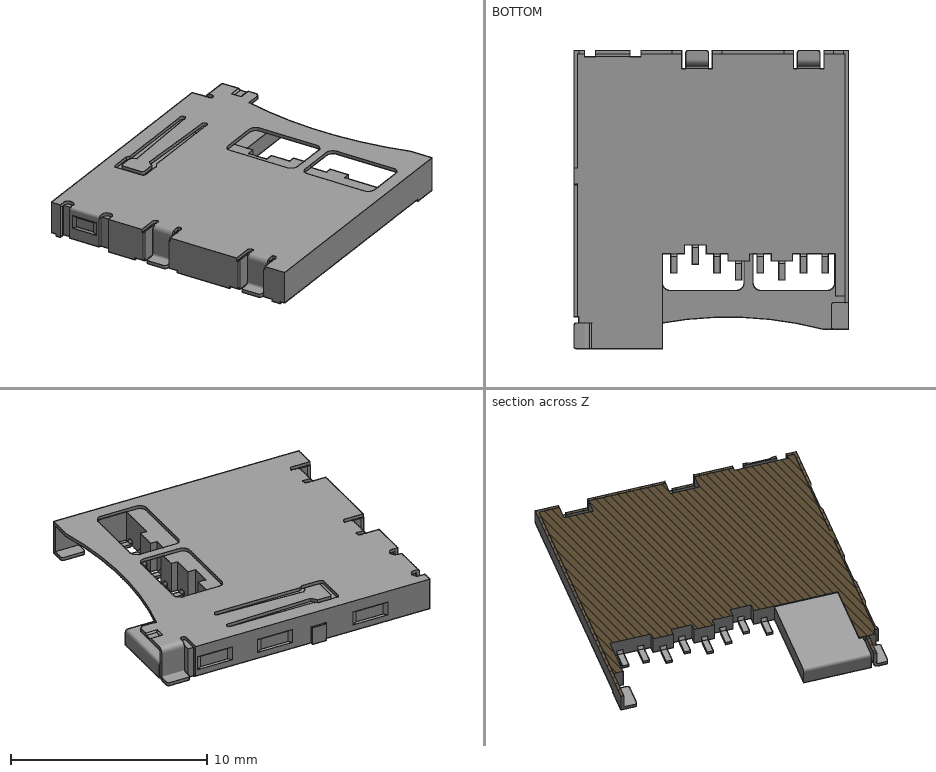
import cadquery as cq
import math


WIDTH = 14.0
LENGTH = 15.2
HEIGHT = 1.9
SHEET = 0.18
ROOF_UNDERSIDE = HEIGHT - SHEET
WALL_GAP = 0.12
PLATE_BACK = 14.21

EAR_RIGHT = 3.02
EAR_ROUNDING = 0.15
ARC_RIGHT = 12.7
ARC_LOW_Y = 13.59

LEG_WIDTH = 1.17
LEG_INSET = 0.61
LEG_BEND = 0.3
FRONT_FOOT_BEND = 0.14
LEFT_FOOT_BEND = 0.06
FOOT_ROUNDING = 0.14
SLOT_ROUNDING = 0.14
LEG_OPENING_WIDTH = 1.54
LEG_ROOF_OPENING_WIDTH = 1.69
LEG_RELIEF_END = 1.2
FRONT_LEG_PITCH = 5.68
FIRST_FRONT_LEG_X = 6.28
FRONT_LEG_CENTRES = [FIRST_FRONT_LEG_X + i * FRONT_LEG_PITCH for i in range(2)]
LEG_CLEARANCE = 0.02
LEG_POCKET_DEPTH = LEG_INSET + LEG_BEND + LEG_CLEARANCE

LEFT_LEG_FRONT = 13.88
LEFT_LEG_TAIL = 0.15
LEFT_SLOT_FRONT = 13.57
LEFT_SLOT_RIGHT = 1.14

RIGHT_FOOT_LEFT = 13.12
RIGHT_FOOT_FRONT = 12.85

CORNER_NOTCH = 0.27
LEG_NOTCH = 0.5

TAB_LEFT = 1.1
TAB_RIGHT = 2.87
TAB_BEND = 0.17
RELIEF_WIDTH = 0.55
RELIEF_END = 0.58
RELIEF_ROUNDING = 0.23
TAB_RECESS_DEPTH = 0.32

DIMPLE_DEPTH = 0.08
TAB_DIMPLE_CENTRE_Z = 1.12
TAB_DIMPLE = (1.43, 0.75)
TAB_DIMPLE_FLOOR = (1.02, 0.52)
WALL_DIMPLE_CENTRES_Y = [3.45, 8.97, 12.46]
WALL_DIMPLE_CENTRE_Z = 0.87
WALL_DIMPLE = (2.02, 0.78)
WALL_DIMPLE_FLOOR = (1.57, 0.62)
ROOF_DIMPLE_CENTRE_X = 2.07
ROOF_DIMPLE_FRONT = 14.52
ROOF_DIMPLE_WIDTH = 0.58
ROOF_DIMPLE_SLOPE = 0.1

NOTCH_FRONT = 6.0
NOTCH_BACK = 6.87
NOTCH_TOP = 1.08
NOTCH_PLAY = 0.08

WINDOW_WIDTH = 4.15
WINDOW_LEFTS = [4.51, 9.14]
WINDOW_FRONT = 9.42
WINDOW_BACK = 12.22
WINDOW_ROUNDING = 0.38

SPRING_CENTRE_X = 1.64
SPRING_ROOT_Y = 11.22
SPRING_ROOT_HALF = 0.52
SPRING_NECK_HALF = 0.36
SPRING_TIP_HALF = 0.67
SPRING_TIP_FRONT = 5.15
SPRING_TIP_SETBACK = 0.08
SPRING_ARM_HALF = 0.79
SPRING_OPENING_HALF = 0.91
SPRING_OPENING_FRONT = 4.85
SPRING_SHOULDER_FRONT = 6.05
SPRING_SHOULDER_BACK = 6.22
SPRING_OPENING_ROUNDING = 0.15
SPRING_TIP_ROUNDING = 0.12
SPRING_END_ROUNDING = 0.12

FIRST_CONTACT_X = 5.09
LAST_CONTACT_X = 12.8
CONTACT_WIDTH = 0.33
CONTACT_REACH = 0.97
CONTACT_THICKNESS = 0.15
CONTACT_RAMP = 0.12
MIDDLE_EDGE = 10.37
FRONT_EDGE = 9.93
BACK_EDGE = 10.73
CONTACT_EDGES = [
    MIDDLE_EDGE, FRONT_EDGE, MIDDLE_EDGE, BACK_EDGE,
    MIDDLE_EDGE, BACK_EDGE, MIDDLE_EDGE, MIDDLE_EDGE,
]
CONTACT_PITCH = (LAST_CONTACT_X - FIRST_CONTACT_X) / (len(CONTACT_EDGES) - 1)

RAIL_LEFT = 0.25
LEFT_ARM_RIGHT = 4.53
LEFT_ARM_HEIGHT = 0.91
ARM_ROUNDING = 0.18
RIGHT_RAIL_LEFT = 13.32
RIGHT_RAIL_BACK = 12.51


def box(x, y, z):
    """Box between the given (low, high) limits on each axis."""
    size = (x[1] - x[0], y[1] - y[0], z[1] - z[0])
    return cq.Workplane("XY").box(*size, centered=False).translate((x[0], y[0], z[0]))


def span(centre, width):
    """(low, high) limits of a width about its centre."""
    return centre - width / 2, centre + width / 2


def dimple(plane, rim, floor):
    """Tapered pressing that narrows from the plane into the sheet, against the plane's normal."""
    return (
        cq.Workplane(plane)
        .rect(*rim)
        .workplane(offset=-DIMPLE_DEPTH)
        .rect(*floor)
        .loft(combine=True, ruled=True)
    )


def bent_leg(plane, width, tail, foot_bend):
    """Leg bent down from the roof and out to a foot.

    Plane x runs outward from the leg face, plane y runs up and the width follows the normal.
    The tail is the flat roof sheet before the bend; foot_bend is the inside radius at the foot.
    """
    sin45 = math.sin(math.pi / 4)
    roof_bend_z = HEIGHT - LEG_BEND
    foot_bend_z = SHEET + foot_bend
    inner_bend = LEG_BEND - SHEET
    outer_foot_bend = foot_bend + SHEET
    return (
        cq.Workplane(plane)
        .moveTo(-LEG_BEND - tail, HEIGHT)
        .lineTo(-LEG_BEND, HEIGHT)
        .threePointArc((LEG_BEND * (sin45 - 1), roof_bend_z + LEG_BEND * sin45), (0, roof_bend_z))
        .lineTo(0, foot_bend_z)
        .threePointArc((foot_bend * (1 - sin45), foot_bend_z - foot_bend * sin45), (foot_bend, SHEET))
        .lineTo(LEG_INSET, SHEET)
        .lineTo(LEG_INSET, 0)
        .lineTo(foot_bend, 0)
        .threePointArc(
            (foot_bend - outer_foot_bend * sin45, foot_bend_z - outer_foot_bend * sin45),
            (-SHEET, foot_bend_z),
        )
        .lineTo(-SHEET, roof_bend_z)
        .threePointArc(
            (-LEG_BEND + inner_bend * sin45, roof_bend_z + inner_bend * sin45),
            (-LEG_BEND, ROOF_UNDERSIDE),
        )
        .lineTo(-LEG_BEND - tail, ROOF_UNDERSIDE)
        .close()
        .extrude(width)
    )


def roof():
    """Flat roof with the ear at the left and the finger arc in the back edge."""
    ear_left = LEG_INSET + LEG_BEND
    return (
        cq.Workplane("XY", origin=(0, 0, ROOF_UNDERSIDE))
        .lineTo(WIDTH, 0)
        .lineTo(WIDTH, PLATE_BACK)
        .lineTo(ARC_RIGHT, PLATE_BACK)
        .threePointArc(((EAR_RIGHT + ARC_RIGHT) / 2, ARC_LOW_Y), (EAR_RIGHT, PLATE_BACK))
        .lineTo(EAR_RIGHT, LENGTH - EAR_ROUNDING)
        .lineTo(EAR_RIGHT - EAR_ROUNDING, LENGTH)
        .lineTo(ear_left, LENGTH)
        .lineTo(ear_left, LEFT_SLOT_FRONT)
        .lineTo(0, LEFT_SLOT_FRONT)
        .close()
        .extrude(SHEET)
    )


def walls():
    """Left, front and right walls below the roof."""
    left = box((0, SHEET), (0, LEFT_SLOT_FRONT), (WALL_GAP, HEIGHT))
    right = box((WIDTH - SHEET, WIDTH), (0, PLATE_BACK), (WALL_GAP, HEIGHT))
    front = box((CORNER_NOTCH, WIDTH - CORNER_NOTCH), (0, SHEET), (0, HEIGHT))
    front_corners = box((0, WIDTH), (0, SHEET), (WALL_GAP, HEIGHT))
    return left.union(right).union(front).union(front_corners)


def right_foot():
    """Foot folded inward under the back end of the right wall."""
    foot = box((RIGHT_FOOT_LEFT, WIDTH), (RIGHT_FOOT_FRONT, PLATE_BACK), (0, SHEET))
    foot = foot.edges("|Z and <X").fillet(FOOT_ROUNDING)
    heel = box((WIDTH - SHEET, WIDTH), (RIGHT_FOOT_FRONT, PLATE_BACK), (0, HEIGHT))
    return foot.union(heel)


def cut_front_leg_opening(shell, centre):
    """Openings in the front wall and roof for one leg, and the raised wall edge beside it."""
    wall_opening = box(span(centre, LEG_OPENING_WIDTH), (0, SHEET), (0, HEIGHT))
    raised_edge = box(span(centre, LEG_OPENING_WIDTH + 2 * LEG_NOTCH), (0, SHEET), (0, WALL_GAP))
    roof_opening = box(
        span(centre, LEG_ROOF_OPENING_WIDTH), (0, LEG_RELIEF_END), (ROOF_UNDERSIDE, HEIGHT)
    )
    roof_opening = roof_opening.edges("|Z and >Y").fillet(SLOT_ROUNDING)
    return shell.cut(wall_opening).cut(raised_edge).cut(roof_opening)


def front_leg(centre):
    """Leg and foot at the front side, hung from the roof edge between its reliefs."""
    plane = cq.Plane(
        origin=(centre + LEG_WIDTH / 2, LEG_INSET, 0), xDir=(0, -1, 0), normal=(-1, 0, 0)
    )
    leg = bent_leg(plane, LEG_WIDTH, LEG_RELIEF_END - LEG_INSET - LEG_BEND, FRONT_FOOT_BEND)
    return leg.edges("|Z and <Y").fillet(FOOT_ROUNDING)


def left_leg():
    """Leg and foot at the left side of the roof ear."""
    width = LENGTH - LEFT_LEG_FRONT
    plane = cq.Plane(origin=(LEG_INSET, LEFT_LEG_FRONT, 0), xDir=(-1, 0, 0), normal=(0, 1, 0))
    leg = bent_leg(plane, width, LEFT_LEG_TAIL, LEFT_FOOT_BEND)
    return leg.edges("|Z and <X").fillet(FOOT_ROUNDING)


def left_leg_slot():
    """Round-ended slot between the left leg and the left wall."""
    slot = box((0, LEFT_SLOT_RIGHT), (LEFT_SLOT_FRONT, LEFT_LEG_FRONT), (0, HEIGHT))
    return slot.edges("|Z and >X").fillet(SLOT_ROUNDING)


def cut_front_tab(shell):
    """Free the front tab with two round-ended reliefs, shorten it and round its bend."""
    for left in (TAB_LEFT - RELIEF_WIDTH, TAB_RIGHT):
        relief = box((left, left + RELIEF_WIDTH), (0, RELIEF_END), (0, HEIGHT))
        shell = shell.cut(relief.edges("|Z and >Y").fillet(RELIEF_ROUNDING))
    shell = shell.cut(box((TAB_LEFT, TAB_RIGHT), (0, SHEET), (0, WALL_GAP)))
    tab_centre = (TAB_LEFT + TAB_RIGHT) / 2
    bend = cq.selectors.NearestToPointSelector((tab_centre, 0, HEIGHT))
    shell = shell.edges(bend).fillet(TAB_BEND)
    plane = cq.Plane(origin=(tab_centre, 0, TAB_DIMPLE_CENTRE_Z), xDir=(1, 0, 0), normal=(0, -1, 0))
    return shell.cut(dimple(plane, TAB_DIMPLE, TAB_DIMPLE_FLOOR))


def wall_dimple(centre_y):
    """Dimple pressed into the left wall."""
    plane = cq.Plane(origin=(0, centre_y, WALL_DIMPLE_CENTRE_Z), xDir=(0, -1, 0), normal=(-1, 0, 0))
    return dimple(plane, WALL_DIMPLE, WALL_DIMPLE_FLOOR)


def roof_dimple():
    """Dimple pressed into the ear, open at its back edge."""
    length = 2 * (LENGTH - ROOF_DIMPLE_FRONT)
    plane = cq.Plane(origin=(ROOF_DIMPLE_CENTRE_X, LENGTH, HEIGHT), xDir=(1, 0, 0), normal=(0, 0, 1))
    rim = (ROOF_DIMPLE_WIDTH, length)
    floor = (ROOF_DIMPLE_WIDTH - 2 * ROOF_DIMPLE_SLOPE, length - 2 * ROOF_DIMPLE_SLOPE)
    return dimple(plane, rim, floor)


def window(left):
    """Rounded window over half of the contacts."""
    opening = box((left, left + WINDOW_WIDTH), (WINDOW_FRONT, WINDOW_BACK), (ROOF_UNDERSIDE, HEIGHT))
    return opening.edges("|Z").fillet(WINDOW_ROUNDING)


def symmetric_plate(half_outline):
    """Sheet-thick plate in the roof, mirrored about the spring's centre line.

    The half outline lists (half width, y) points from one end to the other.
    """
    right = [(SPRING_CENTRE_X + half, y) for half, y in half_outline]
    left = [(SPRING_CENTRE_X - half, y) for half, y in reversed(half_outline)]
    plate = cq.Workplane("XY", origin=(0, 0, ROOF_UNDERSIDE))
    return plate.polyline(right + left).close().extrude(SHEET)


def spring_slot():
    """U-shaped slot that leaves a tapered spring finger with a wide tip."""
    opening = symmetric_plate([
        (SPRING_ARM_HALF, SPRING_ROOT_Y),
        (SPRING_ARM_HALF, SPRING_SHOULDER_BACK),
        (SPRING_OPENING_HALF, SPRING_SHOULDER_FRONT),
        (SPRING_OPENING_HALF, SPRING_OPENING_FRONT),
    ])
    finger = symmetric_plate([
        (SPRING_ROOT_HALF, SPRING_ROOT_Y),
        (SPRING_NECK_HALF, SPRING_SHOULDER_BACK),
        (SPRING_TIP_HALF, SPRING_SHOULDER_FRONT - SPRING_TIP_SETBACK),
        (SPRING_TIP_HALF, SPRING_TIP_FRONT),
    ])
    opening = opening.edges("|Z and <Y").fillet(SPRING_OPENING_ROUNDING)
    finger = finger.edges("|Z and <Y").fillet(SPRING_TIP_ROUNDING)
    return opening.cut(finger).edges("|Z and >Y").fillet(SPRING_END_ROUNDING)


def make_shell():
    """Sheet-metal shell: roof, walls, legs and pressings in one piece."""
    shell = roof().union(walls())
    for centre in FRONT_LEG_CENTRES:
        shell = cut_front_leg_opening(shell, centre)
    shell = cut_front_tab(shell)
    for centre_y in WALL_DIMPLE_CENTRES_Y:
        shell = shell.cut(wall_dimple(centre_y))
    shell = shell.cut(box((0, SHEET), (NOTCH_FRONT, NOTCH_BACK), (0, NOTCH_TOP)))
    for left in WINDOW_LEFTS:
        shell = shell.cut(window(left))
    shell = shell.cut(spring_slot())
    shell = shell.cut(left_leg_slot())
    for centre in FRONT_LEG_CENTRES:
        shell = shell.union(front_leg(centre))
    shell = shell.union(left_leg()).cut(roof_dimple())
    return shell.union(right_foot())


def contact_block():
    """Full-height block under the roof; its back edge steps with the contacts."""
    block = box((SHEET, WIDTH - SHEET), (SHEET, FRONT_EDGE), (0, ROOF_UNDERSIDE))
    for i, edge in enumerate(CONTACT_EDGES):
        left, right = span(FIRST_CONTACT_X + i * CONTACT_PITCH, CONTACT_PITCH)
        if edge > FRONT_EDGE:
            block = block.union(box((left, right), (FRONT_EDGE, edge), (0, ROOF_UNDERSIDE)))
    return block


def contact(centre, edge):
    """Solder tail moulded into the block, ramping down to a flat end."""
    tip = edge + CONTACT_REACH
    ramp_end = edge + CONTACT_RAMP
    return (
        cq.Workplane("YZ", origin=(centre - CONTACT_WIDTH / 2, 0, 0))
        .moveTo(edge, CONTACT_THICKNESS)
        .lineTo(ramp_end, 0)
        .lineTo(tip, 0)
        .lineTo(tip, CONTACT_THICKNESS)
        .lineTo(ramp_end, CONTACT_THICKNESS)
        .lineTo(edge, 2 * CONTACT_THICKNESS)
        .close()
        .extrude(CONTACT_WIDTH)
    )


def left_rail():
    """Tall rail beside the left wall and the lower arm beside it that reaches the back."""
    first_contact_left = FIRST_CONTACT_X - CONTACT_PITCH / 2
    rail = box((SHEET, LEFT_SLOT_RIGHT), (FRONT_EDGE, LEFT_SLOT_FRONT), (0, ROOF_UNDERSIDE))
    slot_end = box((RAIL_LEFT, LEFT_SLOT_RIGHT), (LEFT_SLOT_FRONT, LEFT_LEG_FRONT), (0, ROOF_UNDERSIDE))
    arm_left = LEG_INSET + LEG_BEND
    arm = box((arm_left, LEFT_ARM_RIGHT), (FRONT_EDGE, LENGTH), (0, LEFT_ARM_HEIGHT))
    arm = arm.faces(">Y").edges(">Z").fillet(ARM_ROUNDING)
    filler = box((LEFT_SLOT_RIGHT, first_contact_left), (FRONT_EDGE, MIDDLE_EDGE), (0, ROOF_UNDERSIDE))
    return rail.union(slot_end).union(arm).union(filler)


def right_rail():
    """Rail along the right wall, ending short of the inward foot."""
    return box((RIGHT_RAIL_LEFT, WIDTH - SHEET), (FRONT_EDGE, RIGHT_RAIL_BACK), (0, ROOF_UNDERSIDE))


def notch_boss():
    """Boss that fills the left wall notch, flush with the wall."""
    return box((0, SHEET), (NOTCH_FRONT, NOTCH_BACK - NOTCH_PLAY), (0, NOTCH_TOP - NOTCH_PLAY))


def make_housing():
    """Moulded housing with its contact tails."""
    housing = contact_block().union(left_rail()).union(right_rail()).union(notch_boss())
    for i, edge in enumerate(CONTACT_EDGES):
        housing = housing.union(contact(FIRST_CONTACT_X + i * CONTACT_PITCH, edge))
    tab_recess = box(
        (TAB_LEFT - RELIEF_WIDTH, TAB_RIGHT + RELIEF_WIDTH), (0, TAB_RECESS_DEPTH), (0, HEIGHT)
    )
    housing = housing.cut(tab_recess)
    for centre in FRONT_LEG_CENTRES:
        housing = housing.cut(box(span(centre, LEG_OPENING_WIDTH), (0, LEG_POCKET_DEPTH), (0, HEIGHT)))
    return housing


shell = make_shell()
housing = make_housing()

result = cq.Compound.makeCompound([shell.val(), housing.val()])